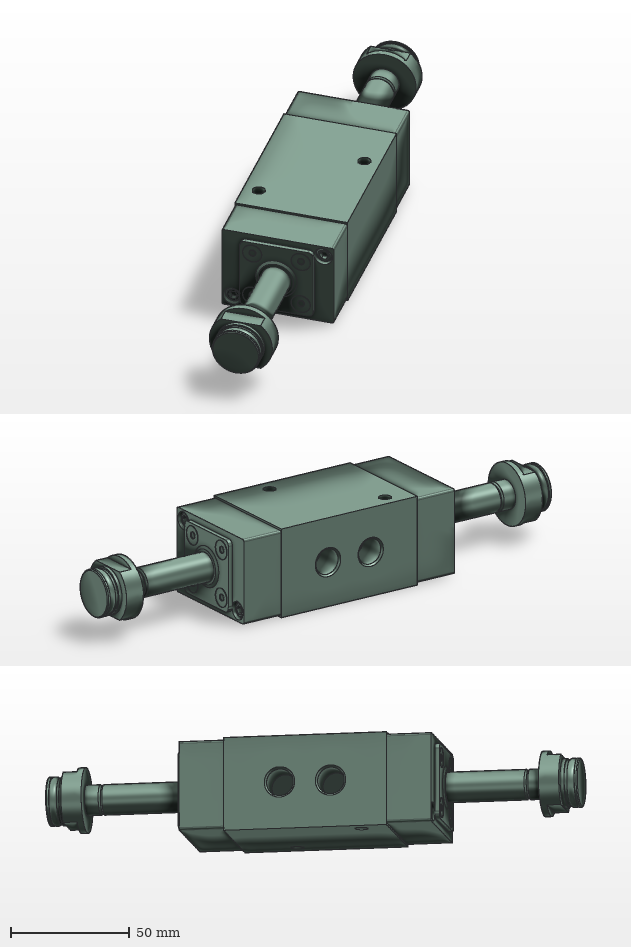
import cadquery as cq

BODY_WIDTH = 50.0
BODY_HEIGHT = 40.0
BODY_HALF_LENGTH = 35.0
CAP_WIDTH = 49.7
CAP_HEIGHT = 38.2
CAP_END = 54.3
CAP_EDGE_RADIUS = 1.0

PLATE_SIDE = 32.5
PLATE_END = 56.3
PLATE_CORNER_RADIUS = 2.3
PLATE_SCREW_OFFSET = 10.8
PLATE_SCREW_DIAMETER = 8.5
PLATE_SCREW_RECESS = 0.2
PLATE_SOCKET_DIAMETER = 3.0
PLATE_SOCKET_DEPTH = 0.7

CAP_SCREW_X = 20.2
CAP_SCREW_Z = 14.2
CAP_COUNTERBORE_DIAMETER = 8.0
CAP_COUNTERBORE_DEPTH = 4.0
CAP_HEAD_DIAMETER = 7.0
CAP_HEAD_HEIGHT = 3.0
CAP_HEAD_FACE_DIAMETER = 5.5
CAP_SOCKET_ACROSS_CORNERS = 4.1
CAP_SOCKET_DEPTH = 2.3

OVERALL_LENGTH = 229
COLLAR_BASE_DIAMETER = 18.3
COLLAR_TOP_DIAMETER = 15.5
COLLAR_END = 57.0
STEM_DIAMETER = 13.0
GROOVE_START = 91.0
GROOVE_END = 92.5
GROOVE_DEPTH = 0.7
NUT_DIAMETER = 28.0
NUT_START = 98.5
NUT_END = 107.2
NUT_FLATS_WIDTH = 21.8
NUT_RIM_THICKNESS = 2.7
KNOB_DIAMETER = 21.0
KNOB_NECK_DIAMETER = 19.7
KNOB_COLLAR_END = 108.8
RING_START = 110.0
RING_END = 113.1
KNOB_TIP_CHAMFER = 0.5

MOUNT_HOLE_DIAMETER = 5.5
MOUNT_HOLES = [(18.0, 11.2), (-18.0, -23.1)]
PORT_Y = 11.0
PORT_DIAMETER = 11.5
PORT_MOUTH_DIAMETER = 13.0
PORT_DEPTH = 13.7


def end_plane(y):
    """Plane across the +Y end, with local x, y along -X and Z and its normal along +Y."""
    return cq.Workplane(cq.Plane(origin=(0, y, 0), xDir=(-1, 0, 0), normal=(0, 1, 0)))


def disc(start, end, diameter):
    return end_plane(start).circle(diameter / 2).extrude(end - start)


def end_cap():
    cap = end_plane(BODY_HALF_LENGTH).rect(CAP_WIDTH, CAP_HEIGHT).extrude(CAP_END - BODY_HALF_LENGTH)
    return cap.edges("|Y").fillet(CAP_EDGE_RADIUS)


def mounting_plate():
    plate = end_plane(CAP_END).rect(PLATE_SIDE, PLATE_SIDE).extrude(PLATE_END - CAP_END)
    plate = plate.edges("|Y").fillet(PLATE_CORNER_RADIUS)
    pitch = 2 * PLATE_SCREW_OFFSET
    for diameter, depth in (
        (PLATE_SCREW_DIAMETER, PLATE_SCREW_RECESS),
        (PLATE_SOCKET_DIAMETER, PLATE_SOCKET_DEPTH),
    ):
        recesses = end_plane(PLATE_END).rect(pitch, pitch, forConstruction=True).vertices()
        plate = plate.cut(recesses.circle(diameter / 2).extrude(-depth))
    return plate


def add_cap_screws(end):
    """Counterbored socket-head screws in two opposite corners."""
    corners = [(-CAP_SCREW_X, CAP_SCREW_Z), (CAP_SCREW_X, -CAP_SCREW_Z)]
    floor = CAP_END - CAP_COUNTERBORE_DEPTH
    head_top = floor + CAP_HEAD_HEIGHT
    bore_length = PLATE_END - floor
    bores = end_plane(floor).pushPoints(corners).circle(CAP_COUNTERBORE_DIAMETER / 2).extrude(bore_length)
    heads = end_plane(floor).pushPoints(corners).circle(CAP_HEAD_DIAMETER / 2).extrude(CAP_HEAD_HEIGHT)
    heads = heads.faces(">Y").edges().chamfer((CAP_HEAD_DIAMETER - CAP_HEAD_FACE_DIAMETER) / 2)
    socket = cq.Sketch().regularPolygon(CAP_SOCKET_ACROSS_CORNERS / 2, 6, angle=30)
    sockets = end_plane(head_top).pushPoints(corners).placeSketch(socket).extrude(-CAP_SOCKET_DEPTH)
    return end.cut(bores).union(heads).cut(sockets)


def stem():
    """Turned stem: tapered foot collar, V groove and an end knob holding a bulging seal ring."""
    stem_radius = STEM_DIAMETER / 2
    neck_radius = KNOB_NECK_DIAMETER / 2
    knob_radius = KNOB_DIAMETER / 2
    tip = OVERALL_LENGTH / 2
    return (
        cq.Workplane("XY")
        .moveTo(0, CAP_END)
        .lineTo(COLLAR_BASE_DIAMETER / 2, CAP_END)
        .lineTo(COLLAR_BASE_DIAMETER / 2, PLATE_END)
        .lineTo(COLLAR_TOP_DIAMETER / 2, COLLAR_END)
        .lineTo(stem_radius, COLLAR_END)
        .lineTo(stem_radius, GROOVE_START)
        .lineTo(stem_radius - GROOVE_DEPTH, (GROOVE_START + GROOVE_END) / 2)
        .lineTo(stem_radius, GROOVE_END)
        .lineTo(stem_radius, NUT_START)
        .lineTo(knob_radius, NUT_START)
        .lineTo(knob_radius, KNOB_COLLAR_END)
        .lineTo(neck_radius, KNOB_COLLAR_END)
        .lineTo(neck_radius, RING_START)
        .threePointArc((knob_radius, (RING_START + RING_END) / 2), (neck_radius, RING_END))
        .lineTo(knob_radius, RING_END)
        .lineTo(knob_radius, tip - KNOB_TIP_CHAMFER)
        .lineTo(knob_radius - KNOB_TIP_CHAMFER, tip)
        .lineTo(0, tip)
        .close()
        .revolve(360, (0, 0, 0), (0, 1, 0))
    )


def nut():
    """Round nut with two wrench flats that stop at a full rim."""
    flats_start = NUT_START + NUT_RIM_THICKNESS
    rim = disc(NUT_START, flats_start, NUT_DIAMETER)
    flats = end_plane(flats_start).rect(NUT_DIAMETER, NUT_FLATS_WIDTH).extrude(NUT_END - flats_start)
    return rim.union(disc(flats_start, NUT_END, NUT_DIAMETER).intersect(flats))


def solenoid_end():
    end = add_cap_screws(end_cap().union(mounting_plate()))
    return end.union(stem()).union(nut())


def middle_block():
    block = cq.Workplane("XY").box(BODY_WIDTH, 2 * BODY_HALF_LENGTH, BODY_HEIGHT)
    block = block.faces(">Z").workplane().pushPoints(MOUNT_HOLES).hole(MOUNT_HOLE_DIAMETER)
    ports = block.faces("<X").workplane(origin=(0, 0, 0)).pushPoints([(-PORT_Y, 0), (PORT_Y, 0)])
    return ports.cskHole(PORT_DIAMETER, PORT_MOUTH_DIAMETER, 90, PORT_DEPTH)


back_end = solenoid_end()
front_end = back_end.mirror("XZ")
result = middle_block().union(back_end).union(front_end)